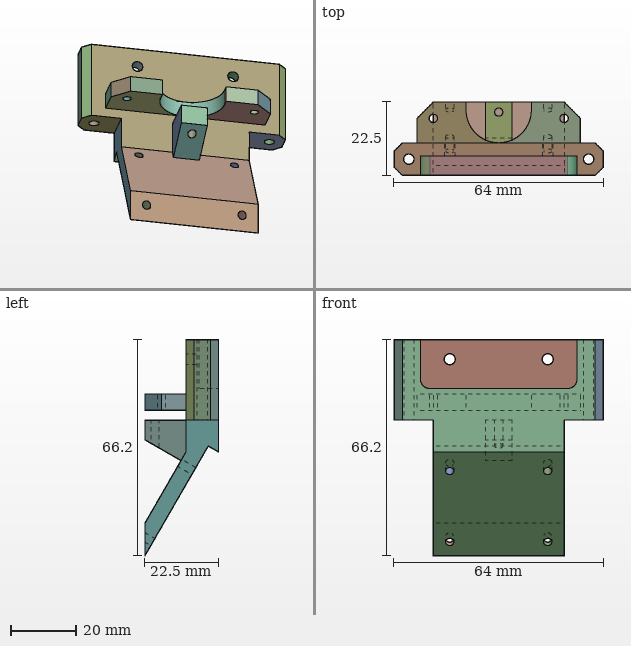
import cadquery as cq
import math

total_height = 66.2
total_depth = 22.5

body_width = 64.0
body_depth = 10.0
body_height = 24.6
body_chamfer = 2.5
body_bottom = total_height - body_height
neck_width = 40.1
neck_bottom = 31.8

pocket_width = 48.0
pocket_depth = 6.0
pocket_height = 15.0
pocket_radius = 3.0
screw_spacing = 30.0
screw_drop = 6.0
screw_diameter = 3.3
post_hole_spacing = 55.0
post_hole_diameter = 3.1

shelf_width = 50.05
shelf_thickness = 5.0
shelf_drop = 16.6
shelf_chamfer = 5.0
notch_radius = 10.0
shelf_hole_spacing = 40.0
shelf_hole_inset = 5.0
small_hole_diameter = 2.5

plate_angle = math.radians(60)
plate_thickness = 5.0
plate_hole_heights = (4.25, 25.95)
gusset_width = 8.15
gusset_back_height = 6.1
gusset_hole_inset = 3.1

plate_slope = math.tan(plate_angle)
plate_rise = plate_thickness / math.cos(plate_angle)
chamfer_slope = 1 / plate_slope


def plate_front_y(z):
    """Y of the front face of the sloping plate at height z."""
    return total_depth - z / plate_slope


def side_profile(points, width):
    """Extrude a (Y, Z) outline symmetrically across X."""
    return cq.Workplane("YZ").polyline(points).close().extrude(width / 2, both=True)


def upright_body():
    body = (
        cq.Workplane("XY", origin=(0, body_depth / 2, body_bottom))
        .box(body_width, body_depth, body_height, centered=(True, True, False))
        .edges("|Z").chamfer(body_chamfer)
    )
    pocket = (
        cq.Workplane("XY", origin=(0, 0, total_height - pocket_height))
        .box(pocket_width, pocket_depth, 2 * pocket_height, centered=(True, False, False))
        .edges("|Y and <Z").fillet(pocket_radius)
    )
    screws = (
        cq.Workplane("XZ", origin=(0, 0, total_height - screw_drop))
        .pushPoints([(-screw_spacing / 2, 0), (screw_spacing / 2, 0)])
        .circle(screw_diameter / 2).extrude(-body_depth)
    )
    post_holes = (
        cq.Workplane("XY", origin=(0, body_depth / 2, body_bottom))
        .pushPoints([(-post_hole_spacing / 2, 0), (post_hole_spacing / 2, 0)])
        .circle(post_hole_diameter / 2).extrude(body_height)
    )
    return body.cut(pocket).cut(screws).cut(post_holes)


def shelf():
    depth = total_depth - body_depth
    base = cq.Workplane("XY", origin=(0, body_depth, total_height - shelf_drop - shelf_thickness))
    plate = (
        base.box(shelf_width, depth, shelf_thickness, centered=(True, False, False))
        .edges("|Z and >Y").chamfer(shelf_chamfer)
    )
    notch = base.center(0, notch_radius).circle(notch_radius).extrude(shelf_thickness)
    notch_mouth = base.center(0, notch_radius).box(
        2 * notch_radius, depth, shelf_thickness, centered=(True, False, False)
    )
    hole_y = depth - shelf_hole_inset
    holes = (
        base.pushPoints([(-shelf_hole_spacing / 2, hole_y), (shelf_hole_spacing / 2, hole_y)])
        .circle(small_hole_diameter / 2).extrude(shelf_thickness)
    )
    return plate.cut(notch).cut(notch_mouth).cut(holes)


def neck_and_plate():
    lip_y = (total_depth * plate_slope - neck_bottom) / (plate_slope + chamfer_slope)
    lip_z = neck_bottom + lip_y * chamfer_slope
    back_bend_z = plate_rise + (total_depth - body_depth) * plate_slope
    solid = side_profile(
        [
            (0, body_bottom),
            (0, neck_bottom),
            (lip_y, lip_z),
            (total_depth, 0),
            (total_depth, plate_rise),
            (body_depth, back_bend_z),
            (body_depth, body_bottom),
        ],
        neck_width,
    )
    plate_normal = (0, math.sin(plate_angle), math.cos(plate_angle))
    for z in plate_hole_heights:
        for x in (-screw_spacing / 2, screw_spacing / 2):
            entry = cq.Plane(origin=(x, plate_front_y(z), z), xDir=(1, 0, 0), normal=plate_normal)
            hole = cq.Workplane(entry).circle(small_hole_diameter / 2).extrude(2 * plate_thickness)
            solid = solid.cut(hole)
    return solid


def gusset():
    back_bottom = body_bottom - gusset_back_height
    run = (back_bottom - plate_rise) / (plate_slope + chamfer_slope)
    bend_z = plate_rise + (total_depth - body_depth) * plate_slope
    solid = side_profile(
        [
            (body_depth, body_bottom),
            (total_depth, body_bottom),
            (total_depth, back_bottom),
            (total_depth - run, back_bottom - run * chamfer_slope),
            (body_depth, bend_z),
        ],
        gusset_width,
    )
    hole = (
        cq.Workplane("XY", origin=(0, total_depth - gusset_hole_inset, body_bottom))
        .circle(small_hole_diameter / 2).extrude(-2 * gusset_back_height)
    )
    return solid.cut(hole)


result = upright_body().union(shelf()).union(neck_and_plate()).union(gusset())